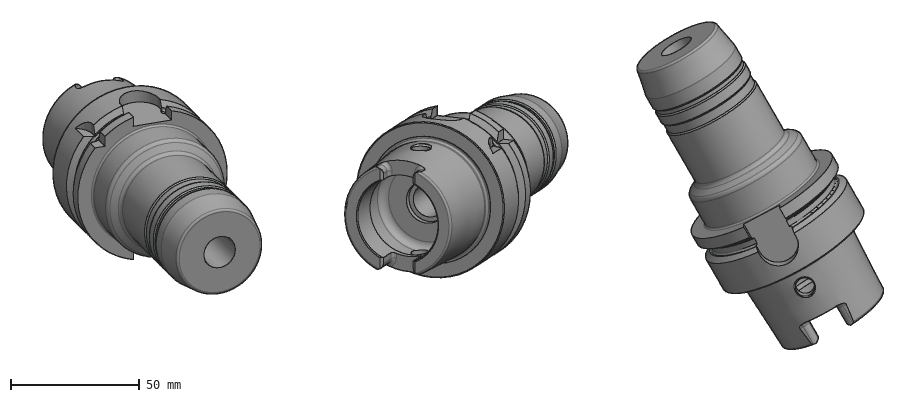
import cadquery as cq
import math


full_length = 127.0
taper_end = 29.8
flange_face = 32.0
collar_end = 58.0
shoulder_start = 70.7
nose_start = 115.7

relief_radius = 24.0
taper_large_radius = 48.4 / 2
taper_slope = 1 / 20
taper_small_radius = taper_large_radius - taper_slope * taper_end
taper_rim_round = 0.9
relief_cone_length = 1.0

undercut_radius = 25.7
undercut_depth = 0.3
undercut_root_round = 0.9

flange_radius = 31.5
flange_chamfer = 0.4
gripper_centre = 49.8
gripper_mouth_width = 6.9
gripper_floor_width = 3.8
gripper_wall_angle = 60
gripper_floor_radius = 55.0 / 2
gripper_corner_round = 0.8

body_radius = 25.0
body_root_round = 0.8
shoulder_length = 5.3
shoulder_angle = 60
shoulder_round = 2.2
barrel_radius = 40.0 / 2
nose_radius = 17.9
nose_round = 1.0

ring_groove_radius = 39.0 / 2
ring_groove_side = 0.6
ring_grooves = [(98.5, 103.4), (107.5, 110.2)]

bore_radius = 17.0
bore_chamfer = 0.45
bore_straight_depth = 12.5
bore_flare_length = 1.3
chamber_radius = 19.3
chamber_floor = 28.5
chamber_floor_round = 3.3
counterbore_diameter = 16.9
counterbore_depth = 2.5
through_diameter = 13.2

cross_hole_x = 23.0
cross_hole_diameter = 7.5
cross_hole_mouth_diameter = 8.9
cross_hole_chamfer = (cross_hole_mouth_diameter - cross_hole_diameter) / 2

top_slot_depth = 5.7
bottom_slot_depth = 9.9
drive_slot_half_width = 12.6 / 2
drive_slot_ledge_height = 20.7
drive_slot_lip_round = 2.5
drive_slot_floor_round = 1.5
drive_slot_mouth_half_width = 7.5
drive_slot_mouth_depth = 0.8

key_slot_radius = 8.0
key_slot_centre_x = 45.0
key_slot_floor = 26.5
notch_offset = 20.1


def rounded_profile(corners):
    """Closed outline of (x, y, round radius) corners, starting at a sharp one; rounds are tangent arcs."""
    start_x, start_y, _ = corners[0]
    outline = cq.Workplane("XY").moveTo(start_x, start_y)
    count = len(corners)
    for i in range(1, count):
        x, y, radius = corners[i]
        corner = cq.Vector(x, y)
        if radius == 0:
            outline = outline.lineTo(x, y)
            continue
        before = (cq.Vector(*corners[i - 1][:2]) - corner).normalized()
        after = (cq.Vector(*corners[(i + 1) % count][:2]) - corner).normalized()
        half_angle = before.getAngle(after) / 2
        setback = radius / math.tan(half_angle)
        arc_distance = radius / math.sin(half_angle) - radius
        start = corner + before * setback
        middle = corner + (before + after).normalized() * arc_distance
        end = corner + after * setback
        outline = outline.lineTo(start.x, start.y)
        outline = outline.threePointArc((middle.x, middle.y), (end.x, end.y))
    return outline.close()


def turned(corners):
    """Revolve a profile of (x, radius, round) corners about the X axis."""
    return rounded_profile(corners).revolve(360, (0, 0, 0), (1, 0, 0))


def both_sides(cut):
    """Pair a cut on the +Z side with its mirror image on the -Z side."""
    return cut.union(cut.mirror("XY"))


def make_body():
    mouth = gripper_mouth_width / 2
    floor = gripper_floor_width / 2
    wall_depth = (mouth - floor) * math.tan(math.radians(gripper_wall_angle))
    wall_foot = flange_radius - wall_depth
    shoulder_cone_length = (body_radius - barrel_radius) / math.tan(math.radians(shoulder_angle))
    shoulder_cone_start = shoulder_start + (shoulder_length - shoulder_cone_length) / 2
    return turned([
        (0, 0, 0),
        (0, taper_small_radius, taper_rim_round),
        (taper_end, taper_large_radius, 0),
        (taper_end + relief_cone_length, relief_radius, 0),
        (flange_face + undercut_depth, relief_radius, undercut_root_round),
        (flange_face + undercut_depth, undercut_radius, 0),
        (flange_face, undercut_radius, 0),
        (flange_face, flange_radius - flange_chamfer, 0),
        (flange_face + flange_chamfer, flange_radius, 0),
        (gripper_centre - mouth, flange_radius, 0),
        (gripper_centre - floor, wall_foot, 0),
        (gripper_centre - floor, gripper_floor_radius, gripper_corner_round),
        (gripper_centre + floor, gripper_floor_radius, gripper_corner_round),
        (gripper_centre + floor, wall_foot, 0),
        (gripper_centre + mouth, flange_radius, 0),
        (collar_end, flange_radius, 0),
        (collar_end, body_radius, body_root_round),
        (shoulder_cone_start, body_radius, shoulder_round),
        (shoulder_cone_start + shoulder_cone_length, barrel_radius, shoulder_round),
        (nose_start, barrel_radius, 0),
        (full_length, nose_radius, nose_round),
        (full_length, 0, 0),
    ])


def make_ring_groove(start, end):
    return turned([
        (start, barrel_radius, 0),
        (start + ring_groove_side, ring_groove_radius, 0),
        (end - ring_groove_side, ring_groove_radius, 0),
        (end, barrel_radius, 0),
        (end, flange_radius, 0),
        (start, flange_radius, 0),
    ])


def make_bore():
    counterbore_floor = chamber_floor + counterbore_depth
    return turned([
        (0, 0, 0),
        (0, bore_radius + bore_chamfer, 0),
        (bore_chamfer, bore_radius, 0),
        (bore_straight_depth, bore_radius, 0),
        (bore_straight_depth + bore_flare_length, chamber_radius, 0),
        (chamber_floor, chamber_radius, chamber_floor_round),
        (chamber_floor, counterbore_diameter / 2, 0),
        (counterbore_floor, counterbore_diameter / 2, 0),
        (counterbore_floor, through_diameter / 2, 0),
        (full_length, through_diameter / 2, 0),
        (full_length, 0, 0),
    ])


def make_cross_hole():
    """Hole along Z with a small countersink where it leaves the taper on either side."""
    surface = taper_small_radius + taper_slope * cross_hole_x
    hole_radius = cross_hole_diameter / 2
    mouth_radius = cross_hole_mouth_diameter / 2
    half = (
        cq.Workplane("XZ")
        .polyline([
            (0, 0),
            (hole_radius, 0),
            (hole_radius, surface - cross_hole_chamfer),
            (mouth_radius, surface),
            (mouth_radius, flange_radius),
            (0, flange_radius),
        ])
        .close()
        .revolve(360, (0, 0, 0), (0, 1, 0))
    )
    return both_sides(half).translate((cross_hole_x, 0, 0))


def make_drive_slot(depth):
    """Slot on the +Z side: straight walls that flare over rounded lips onto flat ledges."""
    wall = drive_slot_half_width
    lip = drive_slot_lip_round
    ledge = drive_slot_ledge_height
    reach = flange_radius
    slot = (
        rounded_profile([
            (-wall, 0, 0),
            (-wall, ledge, lip),
            (-reach, ledge, 0),
            (-reach, reach, 0),
            (reach, reach, 0),
            (reach, ledge, 0),
            (wall, ledge, lip),
            (wall, 0, 0),
        ])
        .extrude(depth)
        .faces(">Z")
        .edges("not(<Y or >Y or <X or >X)")
        .fillet(drive_slot_floor_round)
        .rotate((0, 0, 0), (1, 1, 1), 120)
    )
    mouth = (
        cq.Workplane("XY")
        .polyline([
            (0, -drive_slot_mouth_half_width),
            (drive_slot_mouth_depth, -wall),
            (drive_slot_mouth_depth, wall),
            (0, drive_slot_mouth_half_width),
        ])
        .close()
        .extrude(flange_radius)
    )
    return slot.union(mouth)


def make_round_end_cut(centre_y, floor):
    """Flat-floored cut from a round end in the flange through the collar, open toward +Z."""
    height = flange_radius - floor
    centre = (key_slot_centre_x, centre_y, floor)
    run = collar_end - key_slot_centre_x
    round_end = cq.Workplane("XY", origin=centre).circle(key_slot_radius).extrude(height)
    straight = (
        cq.Workplane("XY", origin=centre)
        .rect(run, 2 * key_slot_radius, centered=(False, True))
        .extrude(height)
    )
    return round_end.union(straight)


result = make_body().cut(make_bore())

for groove_start, groove_end in ring_grooves:
    result = result.cut(make_ring_groove(groove_start, groove_end))

result = result.cut(make_cross_hole())
result = result.cut(make_drive_slot(top_slot_depth))
result = result.cut(make_drive_slot(bottom_slot_depth).mirror("XY"))

result = result.cut(both_sides(make_round_end_cut(0, key_slot_floor)))

result = result.cut(make_round_end_cut(-notch_offset - key_slot_radius, notch_offset))